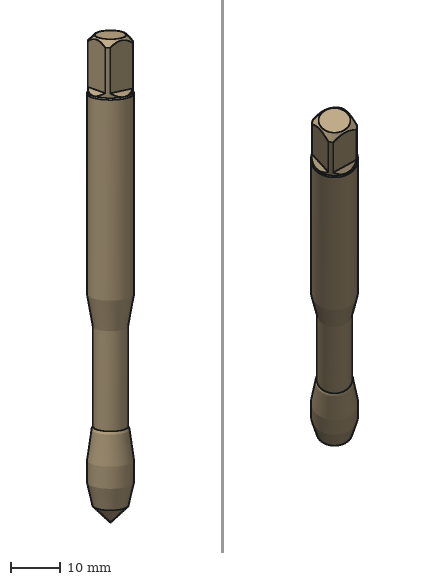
import cadquery as cq


point_length = 3.72
point_radius = point_length

head_radius = 9.65 / 2
lead_taper_length = 4.9
land_length = 4.7
back_taper_length = 6.55
shoulder_radius = 3.9
shoulder_length = 0.6

neck_radius = 7.26 / 2
neck_length = 21.3
shank_taper_length = 6.85
shank_radius = 9.68 / 2
shank_chamfer_length = 0.35

overall_length = 103.72
square_width = 7.26
square_length = 11.1
square_corner_radius = 9.29 / 2
square_top_radius = 3.25
square_side_count = 4

lead_taper_top = point_length + lead_taper_length
land_top = lead_taper_top + land_length
back_taper_top = land_top + back_taper_length
head_top = back_taper_top + shoulder_length
neck_top = head_top + neck_length
shank_taper_top = neck_top + shank_taper_length
square_bottom = overall_length - square_length
runout_length = square_corner_radius - square_width / 2
chamfer_top = square_bottom - runout_length
chamfer_bottom = chamfer_top - shank_chamfer_length
end_bevel_bottom = overall_length - (square_corner_radius - square_top_radius)


def revolved(profile):
    """Turn a closed (radius, height) outline around the Z axis."""
    return cq.Workplane("XZ").polyline(profile).close().revolve(360, (0, 0), (0, 1))


def make_head():
    return revolved([
        (0, 0),
        (point_radius, point_length),
        (head_radius, lead_taper_top),
        (head_radius, land_top),
        (shoulder_radius, back_taper_top),
        (neck_radius, head_top),
        (0, head_top),
    ])


def flat_cutter():
    """Tool that cuts one flat on the +X side, with a 45 degree run-out at its foot."""
    flat_x = square_width / 2
    reach = 2 * shank_radius - flat_x
    outline = [
        (flat_x, overall_length),
        (flat_x, square_bottom),
        (flat_x + reach, square_bottom - reach),
        (flat_x + reach, overall_length),
    ]
    return cq.Workplane("XZ").polyline(outline).close().extrude(shank_radius, both=True)


def make_shank():
    shank = revolved([
        (0, head_top),
        (neck_radius, head_top),
        (neck_radius, neck_top),
        (shank_radius, shank_taper_top),
        (shank_radius, chamfer_bottom),
        (square_corner_radius, chamfer_top),
        (square_corner_radius, end_bevel_bottom),
        (square_top_radius, overall_length),
        (0, overall_length),
    ])
    for side in range(square_side_count):
        angle = side * 360 / square_side_count
        shank = shank.cut(flat_cutter().rotate((0, 0, 0), (0, 0, 1), angle))
    return shank


head = make_head()
shank = make_shank()

result = cq.Compound.makeCompound([head.val(), shank.val()])